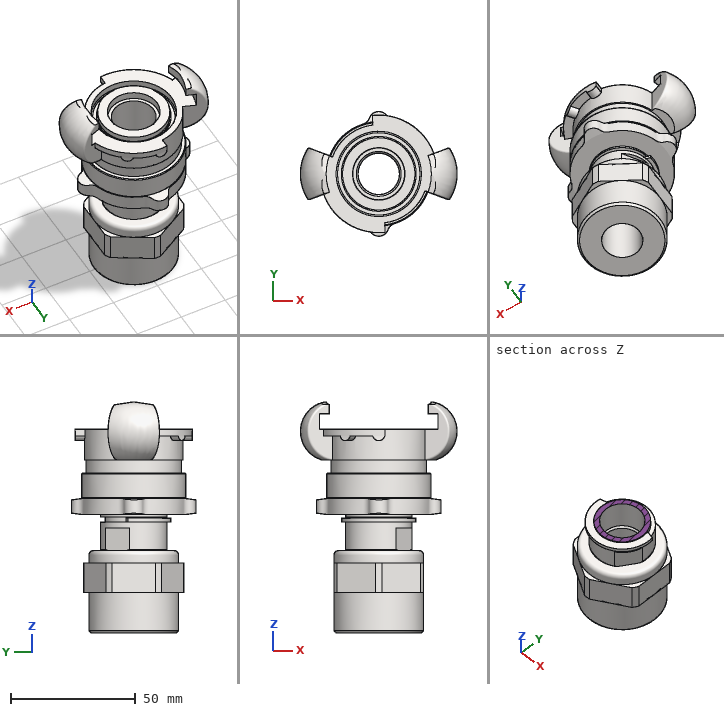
import cadquery as cq
import math

TOTAL_HEIGHT = 92.6

BODY_DIA = 36.0
BODY_TOP = 33.05
BODY_TOP_FILLET = 1.9
BODY_BASE_CHAMFER = 0.9
HEX_BOTTOM = 16.2
HEX_TOP = 28.05
HEX_CORNER_DIA = 40.1

NECK_DIA = 26.7
NECK_FOOT_CHAMFER = 0.5
FLAT_TOP = 42.1
FLAT_WIDTH = 24.1
FLAT_ANGLE = 147.0
RING_GROOVE_BOTTOM = 44.4
RING_GROOVE_TOP = 46.4
RING_GROOVE_DIA = 23.0
RING_DIA = 29.8
RING_TOP = 46.0
RING_END_SLOPE = 0.25
RING_END_APEX = 5.9

NUT_DIA = 41.8
NUT_BOTTOM = 47.4
NUT_LOBED_TOP = 53.9
NUT_TOP = 64.0
NUT_CHAMFER = 0.4
LOBE_COUNT = 4
LOBE_REACH = 25.0
LOBE_RADIUS = 4.0
LOBE_TIP_DROP = 0.6

COLLAR_DIA = 38.3
HEAD_DIA = 39.4
HEAD_BOTTOM = 69.2
HEAD_TOP = 81.65
FLANGE_DIA = 47.1
FLANGE_THICKNESS = 2.8
BUMP_RADIUS = 2.5
BUMP_DROP = 1.85
BUMP_ANGLES = (235.0, 270.0)

CLAW_SPAN = 62.9
CLAW_REACH = CLAW_SPAN / 2
CLAW_HALF_ANGLE = 20.4
CLAW_ARC_DIA = 24.0
CLAW_ARC_RADIUS = CLAW_ARC_DIA / 2
CLAW_CROWN_RADIUS = 18.5
CLAW_CENTRE_Z = 80.7
CLAW_EDGE_FILLET = 0.7
CLAW_ROOF_ANGLE = 8.5
CLAW_SLOT_TOP = 87.8
CLAW_SLOT_DIA = 50.5
CLAW_LIP_DIA = 42.1
CLAW_ROOT_DIA = 37.95

THROAT_DIA = 16.5
BORE_DIA = 18.0
BORE_BOTTOM = 33.3
SEAL_MOUTH_DIA = 21.0
SEAL_LEDGE_DIA = 20.7
SEAL_BORE_DEPTH = 3.15
SEAL_DIA = 29.0
SEAL_FOOT_DIA = 30.0
SEAL_FOOT_HEIGHT = 0.7
GROOVE_FLOOR_DIA = 33.0
GROOVE_WALL_DIA = 34.2
GROOVE_DEPTH = 3.15
GROOVE_WALL_STEP = 0.3

CUT_OVERRUN = 4.6


def disc(diameter, bottom, top):
    """Solid cylinder on the part axis between two heights."""
    return cq.Workplane("XY").workplane(offset=bottom).circle(diameter / 2).extrude(top - bottom)


def tube(outer_diameter, inner_diameter, bottom, top):
    return disc(outer_diameter, bottom, top).cut(disc(inner_diameter, bottom, top))


def half_turn(shape):
    """The same shape turned 180 degrees about the part axis."""
    return shape.rotate((0, 0, 0), (0, 0, 1), 180)


def lower_body():
    barrel = disc(BODY_DIA, 0, BODY_TOP)
    barrel = barrel.faces(">Z").edges().fillet(BODY_TOP_FILLET)
    barrel = barrel.faces("<Z").edges().chamfer(BODY_BASE_CHAMFER)
    hexagon = (
        cq.Workplane("XY").workplane(offset=HEX_BOTTOM)
        .polygon(6, BODY_DIA, circumscribed=True)
        .extrude(HEX_TOP - HEX_BOTTOM)
        .intersect(disc(HEX_CORNER_DIA, HEX_BOTTOM, HEX_TOP))
    )
    return barrel.union(hexagon)


def neck():
    shaft = disc(NECK_DIA, BODY_TOP, NUT_BOTTOM).faces("<Z").edges().chamfer(NECK_FOOT_CHAMFER)
    between_flats = (
        cq.Workplane("XY").workplane(offset=BODY_TOP)
        .rect(FLAT_WIDTH, 2 * NECK_DIA).extrude(FLAT_TOP - BODY_TOP)
        .rotate((0, 0, 0), (0, 0, 1), FLAT_ANGLE)
    )
    shaft = shaft.cut(disc(NECK_DIA, BODY_TOP, FLAT_TOP).cut(between_flats))
    shaft = shaft.cut(tube(NECK_DIA, RING_GROOVE_DIA, RING_GROOVE_BOTTOM, RING_GROOVE_TOP))
    return shaft.union(snap_ring())


def snap_ring():
    """Ring open towards +Y, with slanted ends."""
    ring = tube(RING_DIA, RING_GROOVE_DIA, RING_GROOVE_BOTTOM, RING_TOP)
    end_y = RING_END_APEX - RING_END_SLOPE * RING_DIA
    opening = (
        cq.Workplane("XY").workplane(offset=RING_GROOVE_BOTTOM)
        .polyline([
            (0, RING_END_APEX),
            (RING_DIA, end_y),
            (RING_DIA, RING_DIA),
            (-RING_DIA, RING_DIA),
            (-RING_DIA, end_y),
        ])
        .close().extrude(RING_TOP - RING_GROOVE_BOTTOM)
    )
    return ring.cut(opening)


def nut_lobe():
    """Rounded lobe on +Y that flows into the nut wall through concave arcs of the same radius."""
    nut_radius = NUT_DIA / 2
    tip_centre_y = LOBE_REACH - LOBE_RADIUS
    blend_reach = nut_radius + LOBE_RADIUS
    blend_y = (blend_reach**2 + tip_centre_y**2 - (2 * LOBE_RADIUS)**2) / (2 * tip_centre_y)
    blend_x = math.sqrt(blend_reach**2 - blend_y**2)
    root = (blend_x * nut_radius / blend_reach, blend_y * nut_radius / blend_reach)
    join = (blend_x / 2, (blend_y + tip_centre_y) / 2)
    chord_x = (root[0] + join[0]) / 2 - blend_x
    chord_y = (root[1] + join[1]) / 2 - blend_y
    stretch = LOBE_RADIUS / math.hypot(chord_x, chord_y)
    blend_mid = (blend_x + chord_x * stretch, blend_y + chord_y * stretch)
    return (
        cq.Workplane("XY").workplane(offset=NUT_BOTTOM)
        .moveTo(0, 0).lineTo(*root)
        .threePointArc(blend_mid, join)
        .threePointArc((0, LOBE_REACH), (-join[0], join[1]))
        .threePointArc((-blend_mid[0], blend_mid[1]), (-root[0], root[1]))
        .close().extrude(NUT_LOBED_TOP - NUT_BOTTOM)
    )


def wing_nut():
    sleeve = disc(NUT_DIA, NUT_LOBED_TOP, NUT_TOP).edges().chamfer(NUT_CHAMFER)
    nut = disc(NUT_DIA, NUT_BOTTOM, NUT_LOBED_TOP).union(sleeve)
    lobes = cq.Workplane("XY")
    for index in range(LOBE_COUNT):
        lobes = lobes.add(nut_lobe().rotate((0, 0, 0), (0, 0, 1), index * 360 / LOBE_COUNT))
    lobe_envelope = (
        cq.Workplane("XZ")
        .polyline([
            (0, NUT_BOTTOM),
            (NUT_DIA / 2, NUT_BOTTOM),
            (LOBE_REACH, NUT_BOTTOM + LOBE_TIP_DROP),
            (LOBE_REACH, NUT_LOBED_TOP - LOBE_TIP_DROP),
            (NUT_DIA / 2, NUT_LOBED_TOP),
            (0, NUT_LOBED_TOP),
        ])
        .close().revolve(360, (0, 0, 0), (0, 1, 0))
    )
    return nut.union(lobes.combine().intersect(lobe_envelope))


def flange_sector():
    """Flange quadrant on the -X, -Y side with two locking bumps below it."""
    plate = disc(FLANGE_DIA, HEAD_TOP - FLANGE_THICKNESS, HEAD_TOP)
    bump_centre_z = HEAD_TOP - FLANGE_THICKNESS - BUMP_DROP + BUMP_RADIUS
    for angle in BUMP_ANGLES:
        bump = (
            cq.Workplane("YZ").center(0, bump_centre_z)
            .circle(BUMP_RADIUS).extrude(FLANGE_DIA)
            .rotate((0, 0, 0), (0, 0, 1), angle)
        )
        plate = plate.union(bump.intersect(disc(FLANGE_DIA, HEAD_BOTTOM, HEAD_TOP)))
    quadrant = (
        cq.Workplane("XY").workplane(offset=HEAD_BOTTOM)
        .moveTo(BUMP_RADIUS, 0).rect(-FLANGE_DIA, -FLANGE_DIA, centered=False)
        .extrude(HEAD_TOP - HEAD_BOTTOM)
    )
    return plate.intersect(quadrant)


def claw():
    """Domed hook on +X."""
    crown_axis_x = CLAW_REACH - CLAW_CROWN_RADIUS
    arc_centre = CLAW_CROWN_RADIUS - CLAW_ARC_RADIUS
    dome = (
        cq.Workplane("XZ")
        .moveTo(0, -CLAW_ARC_RADIUS)
        .lineTo(arc_centre, -CLAW_ARC_RADIUS)
        .threePointArc((CLAW_CROWN_RADIUS, 0), (arc_centre, CLAW_ARC_RADIUS))
        .lineTo(0, CLAW_ARC_RADIUS)
        .close().revolve(360, (0, 0, 0), (0, 1, 0))
        .translate((crown_axis_x, 0, CLAW_CENTRE_Z))
    )
    half_width = CLAW_REACH * math.tan(math.radians(CLAW_HALF_ANGLE))
    wedge = (
        cq.Workplane("XY").workplane(offset=HEAD_BOTTOM - CUT_OVERRUN)
        .polyline([(0, 0), (CLAW_REACH, -half_width), (CLAW_REACH, half_width)])
        .close().extrude(TOTAL_HEIGHT - HEAD_BOTTOM + 2 * CUT_OVERRUN)
        .cut(disc(CLAW_ROOT_DIA, HEAD_BOTTOM - CUT_OVERRUN, TOTAL_HEIGHT + CUT_OVERRUN))
    )
    hook = dome.intersect(wedge)
    hook = hook.faces("<Y or >Y").edges("not %LINE").fillet(CLAW_EDGE_FILLET)

    roof_drop = half_width * math.tan(math.radians(CLAW_ROOF_ANGLE))
    roof = (
        cq.Workplane("YZ")
        .polyline([
            (-half_width, HEAD_BOTTOM),
            (half_width, HEAD_BOTTOM),
            (half_width, TOTAL_HEIGHT - roof_drop),
            (0, TOTAL_HEIGHT),
            (-half_width, TOTAL_HEIGHT - roof_drop),
        ])
        .close().extrude(CLAW_REACH)
    )
    hook = hook.intersect(roof)
    hook = hook.cut(disc(CLAW_SLOT_DIA, HEAD_TOP, CLAW_SLOT_TOP))
    return hook.cut(disc(CLAW_LIP_DIA, HEAD_TOP, TOTAL_HEIGHT + CUT_OVERRUN))


def claw_head():
    head = disc(COLLAR_DIA, NUT_TOP, HEAD_BOTTOM).union(disc(HEAD_DIA, HEAD_BOTTOM, HEAD_TOP))
    for feature in (flange_sector(), claw()):
        head = head.union(feature).union(half_turn(feature))
    return head


def bore():
    """Through bore: seal counterbore, main bore, then a cone into the throat."""
    ledge_z = HEAD_TOP - SEAL_BORE_DEPTH
    cone_height = (BORE_DIA - THROAT_DIA) / 2
    return (
        cq.Workplane("XZ")
        .polyline([
            (0, 0),
            (THROAT_DIA / 2, 0),
            (THROAT_DIA / 2, BORE_BOTTOM - cone_height),
            (BORE_DIA / 2, BORE_BOTTOM),
            (BORE_DIA / 2, ledge_z),
            (SEAL_LEDGE_DIA / 2, ledge_z),
            (SEAL_MOUTH_DIA / 2, HEAD_TOP),
            (0, HEAD_TOP),
        ])
        .close().revolve(360, (0, 0, 0), (0, 1, 0))
    )


def seal_groove():
    """Ring groove around the seal, with a small step at the foot of each wall."""
    floor_z = HEAD_TOP - GROOVE_DEPTH
    foot_z = floor_z + SEAL_FOOT_HEIGHT
    wall_step_z = floor_z + GROOVE_WALL_STEP
    return (
        cq.Workplane("XZ")
        .polyline([
            (SEAL_DIA / 2, HEAD_TOP),
            (SEAL_DIA / 2, foot_z),
            (SEAL_FOOT_DIA / 2, foot_z),
            (SEAL_FOOT_DIA / 2, floor_z),
            (GROOVE_FLOOR_DIA / 2, floor_z),
            (GROOVE_FLOOR_DIA / 2, wall_step_z),
            (GROOVE_WALL_DIA / 2, wall_step_z),
            (GROOVE_WALL_DIA / 2, HEAD_TOP),
        ])
        .close().revolve(360, (0, 0, 0), (0, 1, 0))
    )


result = (
    lower_body()
    .union(neck())
    .union(wing_nut())
    .union(claw_head())
    .cut(bore())
    .cut(seal_groove())
)